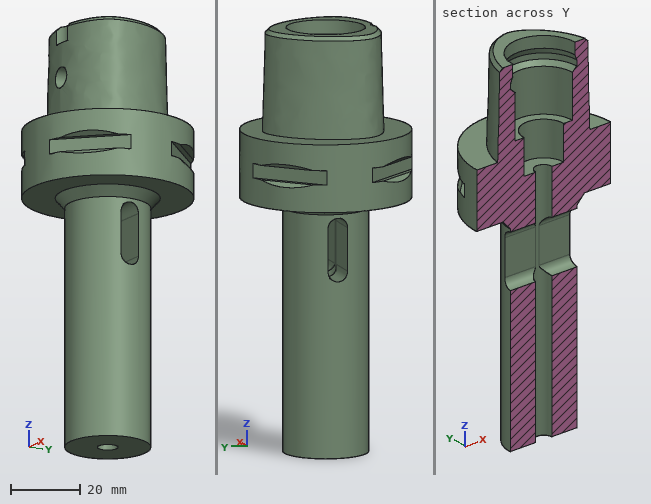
import cadquery as cq
import math

total_height = 125.0
shank_radius = 12.5
collar_bottom_z = 72.0
flange_bottom_z = 75.0
flange_top_z = 95.0
collar_radius = 15.2
flange_radius = 25.0

lobe_base_radius = 17.6
lobe_top_radius = 16.9
lobe_rise = 1.19
lobe_chamfer = 1.1
outline_points = 48

mouth_radius = 11.5
mouth_depth = 4.1
bore_groove_radius = 12.2
bore_groove_wall_start_depth = 6.0
bore_groove_wall_end_depth = 8.0
seat_radius = 10.6
seat_start_depth = 9.5
seat_floor_depth = 25.0
thread_radius = 7.4
thread_depth = 37.5
through_radius = 3.0

groove_mid_z = 85.2
groove_floor_height = 4.2
groove_mouth_height = 6.8
groove_floor_distance = 21.9
groove_flare_distance = 23.5

slot_width = 5.9
slot_bottom_z = 52.1
slot_top_z = 70.9

notch_radius = 3.4
notch_depth = 5.5
notch_center_y = -17.0
cross_hole_radius = 3.1
cross_hole_z = 109.0


def lobed_wire(mean_radius, z):
    """Constant-width three-lobed outline with one lobe pointing to +Y."""
    points = []
    for i in range(outline_points):
        angle = 2 * math.pi * i / outline_points
        support = mean_radius + lobe_rise * math.cos(3 * angle)
        slope = -3 * lobe_rise * math.sin(3 * angle)
        along = support * math.cos(angle) - slope * math.sin(angle)
        across = support * math.sin(angle) + slope * math.cos(angle)
        points.append(cq.Vector(-across, along, z))
    return cq.Wire.assembleEdges([cq.Edge.makeSpline(points, periodic=True)])


def lobed_frustum(bottom_radius, top_radius, bottom_z, top_z):
    wires = [lobed_wire(bottom_radius, bottom_z), lobed_wire(top_radius, top_z)]
    return cq.Workplane(cq.Solid.makeLoft(wires, True))


def revolved(profile):
    """Solid of revolution about Z from (radius, z) points."""
    return cq.Workplane("XZ").polyline(profile).close().revolve(360, (0, 0), (0, 1))


def shank_and_flange():
    profile = [
        (0, 0),
        (shank_radius, 0),
        (shank_radius, collar_bottom_z),
        (collar_radius, flange_bottom_z),
        (flange_radius, flange_bottom_z),
        (flange_radius, flange_top_z),
        (0, flange_top_z),
    ]
    return revolved(profile)


def coupling():
    chamfer_z = total_height - lobe_chamfer
    body = lobed_frustum(lobe_base_radius, lobe_top_radius, flange_top_z, chamfer_z)
    tip = lobed_frustum(lobe_top_radius, lobe_top_radius - lobe_chamfer, chamfer_z, total_height)
    return body.union(tip)


def stepped_bore():
    profile = [
        (0, 0),
        (through_radius, 0),
        (through_radius, total_height - thread_depth),
        (thread_radius, total_height - thread_depth),
        (thread_radius, total_height - seat_floor_depth),
        (seat_radius, total_height - seat_floor_depth),
        (seat_radius, total_height - seat_start_depth),
        (bore_groove_radius, total_height - bore_groove_wall_end_depth),
        (bore_groove_radius, total_height - bore_groove_wall_start_depth),
        (mouth_radius, total_height - mouth_depth),
        (mouth_radius, total_height),
        (0, total_height),
    ]
    return revolved(profile)


def gripper_groove(angle):
    half_floor = groove_floor_height / 2
    half_mouth = groove_mouth_height / 2
    section = [
        (groove_floor_distance, -half_floor),
        (groove_flare_distance, -half_floor),
        (flange_radius, -half_mouth),
        (flange_radius, half_mouth),
        (groove_flare_distance, half_floor),
        (groove_floor_distance, half_floor),
    ]
    groove = cq.Workplane("XZ").polyline(section).close().extrude(flange_radius, both=True)
    return groove.translate((0, 0, groove_mid_z)).rotate((0, 0, 0), (0, 0, 1), angle)


def drift_slot():
    slot = cq.Workplane("YZ").center(0, (slot_bottom_z + slot_top_z) / 2)
    slot = slot.slot2D(slot_top_z - slot_bottom_z, slot_width, 90)
    return slot.extrude(flange_radius, both=True)


def key_notch():
    notch = cq.Workplane(origin=(0, notch_center_y, total_height - notch_depth))
    return notch.circle(notch_radius).extrude(notch_depth)


def cross_hole():
    return cq.Workplane("XZ").center(0, cross_hole_z).circle(cross_hole_radius).extrude(flange_radius)


result = shank_and_flange().union(coupling())
for groove_angle in (45, 135, 225, 315):
    result = result.cut(gripper_groove(groove_angle))
for cutter in (stepped_bore(), drift_slot(), key_notch(), cross_hole()):
    result = result.cut(cutter)